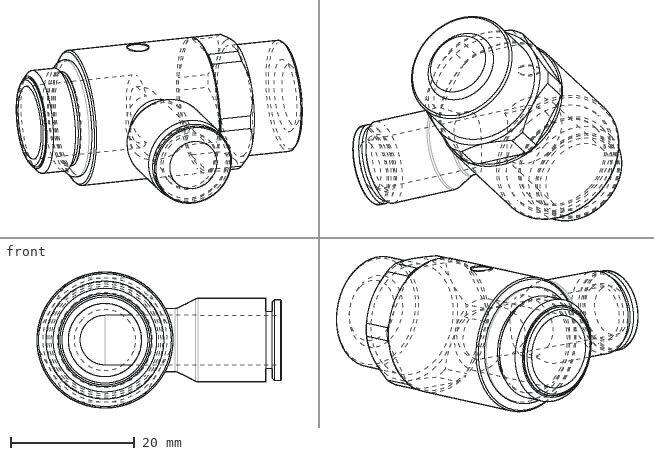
import cadquery as cq
import math

total_length = 44.55
body_radius = 11.0
body_start = 7.5
body_end = 28.9
body_chamfer = 0.25

thread_radius = 8.37
thread_start = 0.45
thread_end_chamfer = 0.85
thread_end = 5.05
relief_radius = 7.65
sleeve_radius = 7.25
sleeve_chamfer = 0.3

seal_outer_radius = 9.55
seal_section_radius = 1.05
seal_centre = 6.95

hex_across_flats = 20.05
hex_end = 34.9
knob_radius = 9.05
knob_end = 43.5
knob_chamfer = 0.35
screw_base_radius = 5.9
screw_tip_radius = 4.95

branch_y = 18.4
branch_neck_radius = 5.1
branch_cone_start = 11.55
branch_cone_end = 14.85
branch_radius = 6.75
branch_cone_fillet = 0.8
branch_sleeve_end = 26.0
collar_groove_radius = 4.65
collar_start = 27.0
collar_radius = 6.55
collar_end = 28.55
collar_inner_chamfer = 0.4
collar_outer_chamfer = 0.2

main_bore_radius = 5.92
branch_bore_radius = 4.0

recess_radius = 1.8
recess_depth = 0.22


def y_cylinder(radius, start, end):
    """Cylinder on the Y axis from y = start to y = end."""
    return cq.Workplane("XZ", origin=(0, start, 0)).circle(radius).extrude(start - end)


def make_spigot():
    """Threaded end: chamfered inner sleeve, thread cylinder and relief neck."""
    relief_drop = thread_radius - relief_radius
    profile = [
        (0, 0),
        (sleeve_radius - sleeve_chamfer, 0),
        (sleeve_radius, sleeve_chamfer),
        (sleeve_radius, thread_start),
        (thread_radius - thread_end_chamfer, thread_start),
        (thread_radius, thread_start + thread_end_chamfer),
        (thread_radius, thread_end),
        (relief_radius, thread_end + relief_drop),
        (relief_radius, body_start),
        (0, body_start),
    ]
    return cq.Workplane("XY").polyline(profile).close().revolve(360, (0, 0, 0), (0, 1, 0))


def make_seal():
    """Torus on the Y axis, partly sunk into the body face."""
    ring_radius = seal_outer_radius - seal_section_radius
    torus = cq.Solid.makeTorus(
        ring_radius, seal_section_radius, cq.Vector(0, seal_centre, 0), cq.Vector(0, 1, 0)
    )
    return cq.Workplane(torus)


def make_body():
    return y_cylinder(body_radius, body_start, body_end).edges("%CIRCLE").chamfer(body_chamfer)


def make_hexagon():
    """Hexagon with flats facing +Z and -Z, corners turned down to the body radius."""
    across_corners = hex_across_flats / math.cos(math.pi / 6)
    prism = (
        cq.Workplane("XZ", origin=(0, body_end, 0))
        .polygon(6, across_corners)
        .extrude(body_end - hex_end)
    )
    corner_chamfer = body_radius - hex_across_flats / 2
    envelope = y_cylinder(body_radius, body_end, hex_end).faces(">Y").chamfer(corner_chamfer)
    return prism.intersect(envelope)


def make_knob():
    """Round knob with the conical tip of the adjusting screw."""
    profile = [
        (0, hex_end),
        (knob_radius, hex_end),
        (knob_radius, knob_end - knob_chamfer),
        (knob_radius - knob_chamfer, knob_end),
        (screw_base_radius, knob_end),
        (screw_tip_radius, total_length),
        (0, total_length),
    ]
    return cq.Workplane("XY").polyline(profile).close().revolve(360, (0, 0, 0), (0, 1, 0))


def make_branch():
    """Tube connector: neck, cone and sleeve, then a release collar behind a groove."""
    sleeve_profile = [
        (0, 0),
        (0, branch_neck_radius),
        (branch_cone_start, branch_neck_radius),
        (branch_cone_end, branch_radius),
        (branch_sleeve_end, branch_radius),
        (branch_sleeve_end, 0),
    ]
    collar_profile = [
        (branch_sleeve_end, 0),
        (branch_sleeve_end, collar_groove_radius),
        (collar_start, collar_groove_radius),
        (collar_start, collar_radius - collar_inner_chamfer),
        (collar_start + collar_inner_chamfer, collar_radius),
        (collar_end - collar_outer_chamfer, collar_radius),
        (collar_end, collar_radius - collar_outer_chamfer),
        (collar_end, 0),
    ]
    plane = cq.Workplane("XY", origin=(0, branch_y, 0))
    sleeve = plane.polyline(sleeve_profile).close().revolve(360, (0, 0, 0), (1, 0, 0))
    cone_corners = [
        (branch_cone_start, branch_neck_radius),
        (branch_cone_end, branch_radius),
    ]
    for corner_x, corner_radius in cone_corners:
        corner = cq.selectors.NearestToPointSelector((corner_x, branch_y + corner_radius, 0))
        sleeve = sleeve.edges("%CIRCLE").edges(corner).fillet(branch_cone_fillet)
    collar = plane.polyline(collar_profile).close().revolve(360, (0, 0, 0), (1, 0, 0))
    return sleeve.union(collar)


def make_passages():
    """Main bore up to the branch axis, meeting a round-ended bore through the branch."""
    main_bore = y_cylinder(main_bore_radius, 0, branch_y)
    branch_bore = (
        cq.Workplane("YZ", origin=(0, branch_y, 0)).circle(branch_bore_radius).extrude(collar_end)
    )
    round_end = cq.Workplane("XY", origin=(0, branch_y, 0)).sphere(branch_bore_radius)
    return main_bore.union(branch_bore).union(round_end)


def make_recess():
    floor_z = body_radius - recess_depth
    return (
        cq.Workplane("XY", origin=(0, branch_y, floor_z)).circle(recess_radius).extrude(recess_depth)
    )


result = (
    make_body()
    .union(make_spigot())
    .union(make_seal())
    .union(make_hexagon())
    .union(make_knob())
    .union(make_branch())
    .cut(make_passages())
    .cut(make_recess())
)